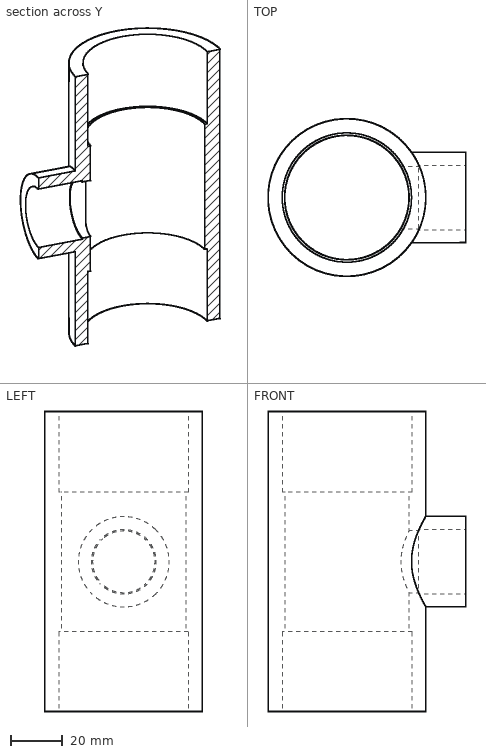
import cadquery as cq


run_outer_diameter = 61.0
run_socket_diameter = 50.0
run_bore_diameter = 48.0
run_length = 116.0

branch_outer_diameter = 35.0
branch_socket_diameter = 25.0
branch_bore_diameter = 24.0
branch_reach = 46.0


def socket_depth(pipe_diameter):
    """Depth of a socket for a pipe: half the pipe diameter plus a fixed allowance."""
    depth_allowance = 6.0
    return pipe_diameter / 2 + depth_allowance


def run_cylinder(diameter, start, length):
    """Cylinder on the run axis, rising from height start."""
    return cq.Workplane("XY").workplane(offset=start).circle(diameter / 2).extrude(length)


def branch_cylinder(diameter, start, length):
    """Cylinder on the branch axis, going outward from distance start."""
    return cq.Workplane("YZ").workplane(offset=start).circle(diameter / 2).extrude(length)


def outer_body():
    run = run_cylinder(run_outer_diameter, -run_length / 2, run_length)
    branch = branch_cylinder(branch_outer_diameter, 0, branch_reach)
    return run.union(branch)


def run_passage():
    """Through bore with a wider socket at each end."""
    depth = socket_depth(run_socket_diameter)
    passage = run_cylinder(run_bore_diameter, -run_length / 2, run_length)
    for start in (-run_length / 2, run_length / 2 - depth):
        passage = passage.union(run_cylinder(run_socket_diameter, start, depth))
    return passage


def branch_passage():
    """Bore from the run axis outward, ending in a wider socket."""
    depth = socket_depth(branch_socket_diameter)
    bore = branch_cylinder(branch_bore_diameter, 0, branch_reach)
    socket = branch_cylinder(branch_socket_diameter, branch_reach - depth, depth)
    return bore.union(socket)


result = outer_body().cut(run_passage()).cut(branch_passage())